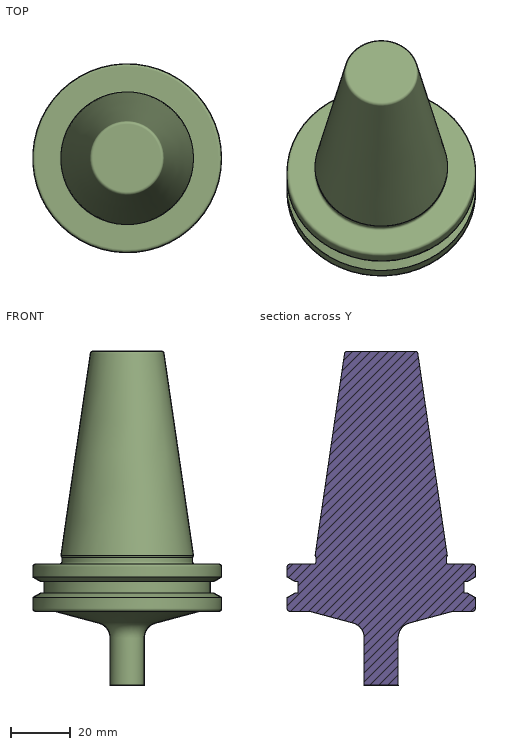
import cadquery as cq
import math


gauge_diameter = 44.52
taper_length = 68.4
taper_ratio = 7 / 24
taper_overrun = 0.3
tip_fillet = 1.0

neck_diameter = 44.0
neck_step_height = 0.65
neck_fillet = 0.7

flange_diameter = 63.5
flange_top_z = -3.1
flange_bottom_z = -19.1
flange_fillet = 1.0

groove_diameter = 56.0
groove_middle_z = -10.95
groove_mouth_width = 6.9
groove_wall_angle = 30
channel_width = 3.8

cone_diameter = 48.2
cone_angle = 15
stem_diameter = 11.6
stem_fillet = 5.0
stem_bottom_z = -43.9

gauge_radius = gauge_diameter / 2
neck_radius = neck_diameter / 2
flange_radius = flange_diameter / 2
groove_radius = groove_diameter / 2
cone_radius = cone_diameter / 2
stem_radius = stem_diameter / 2


def revolve_profile(profile):
    """Turn a closed (radius, Z) profile around the Z axis."""
    return profile.close().revolve(360, (0, 0, 0), (0, 1, 0))


def make_flange():
    height = flange_top_z - flange_bottom_z
    disc = cq.Workplane("XY").workplane(offset=flange_bottom_z).circle(flange_radius).extrude(height)
    return disc.edges("%CIRCLE").fillet(flange_fillet)


def make_groove():
    half_mouth = groove_mouth_width / 2
    half_channel = channel_width / 2
    wall_depth = (half_mouth - half_channel) / math.tan(math.radians(groove_wall_angle))
    step_radius = flange_radius - wall_depth
    profile = (
        cq.Workplane("XZ")
        .moveTo(groove_radius, groove_middle_z - half_channel)
        .lineTo(step_radius, groove_middle_z - half_channel)
        .lineTo(flange_radius, groove_middle_z - half_mouth)
        .lineTo(flange_radius, groove_middle_z + half_mouth)
        .lineTo(step_radius, groove_middle_z + half_channel)
        .lineTo(groove_radius, groove_middle_z + half_channel)
    )
    return revolve_profile(profile)


def make_taper():
    tip_radius = gauge_radius - taper_length * taper_ratio / 2
    base_radius = gauge_radius + taper_overrun * taper_ratio / 2
    profile = (
        cq.Workplane("XZ")
        .moveTo(0, -taper_overrun - neck_step_height)
        .lineTo(neck_radius, -taper_overrun - neck_step_height)
        .lineTo(base_radius, -taper_overrun)
        .lineTo(tip_radius, taper_length)
        .lineTo(0, taper_length)
    )
    return revolve_profile(profile).faces(">Z").edges().fillet(tip_fillet)


def make_neck():
    foot_radius = neck_radius + neck_fillet
    fillet_top_z = flange_top_z + neck_fillet
    fillet_middle = (
        foot_radius - neck_fillet * math.sin(math.pi / 4),
        fillet_top_z - neck_fillet * math.sin(math.pi / 4),
    )
    profile = (
        cq.Workplane("XZ")
        .moveTo(0, flange_top_z)
        .lineTo(foot_radius, flange_top_z)
        .threePointArc(fillet_middle, (neck_radius, fillet_top_z))
        .lineTo(neck_radius, -taper_overrun)
        .lineTo(0, -taper_overrun)
    )
    return revolve_profile(profile)


def make_cone_and_stem():
    slope = math.radians(cone_angle)
    sweep = math.pi / 2 - slope
    fillet_top_radius = stem_radius + stem_fillet * (1 - math.cos(sweep))
    fillet_top_z = flange_bottom_z - (cone_radius - fillet_top_radius) * math.tan(slope)
    fillet_bottom_z = fillet_top_z - stem_fillet * math.sin(sweep)
    fillet_middle = (
        stem_radius + stem_fillet * (1 - math.cos(sweep / 2)),
        fillet_bottom_z + stem_fillet * math.sin(sweep / 2),
    )
    profile = (
        cq.Workplane("XZ")
        .moveTo(0, flange_bottom_z)
        .lineTo(cone_radius, flange_bottom_z)
        .lineTo(fillet_top_radius, fillet_top_z)
        .threePointArc(fillet_middle, (stem_radius, fillet_bottom_z))
        .lineTo(stem_radius, stem_bottom_z)
        .lineTo(0, stem_bottom_z)
    )
    return revolve_profile(profile)


result = (
    make_flange()
    .cut(make_groove())
    .union(make_neck())
    .union(make_taper())
    .union(make_cone_and_stem())
)